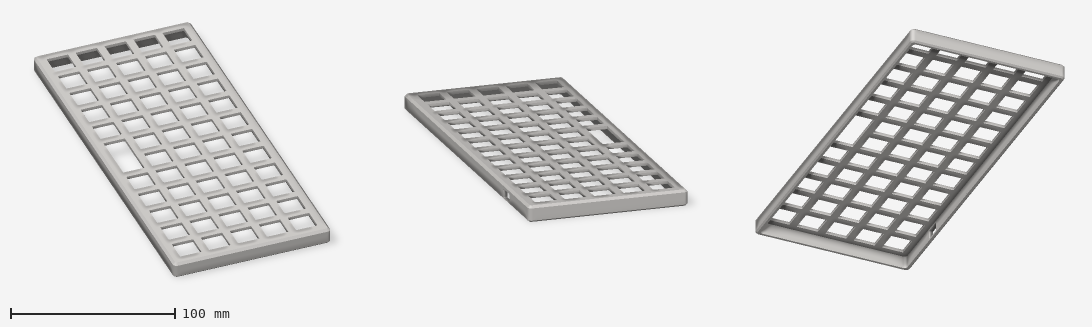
import cadquery as cq

length = 236.0
width = 103.0
height = 10.5
wall = 2.5
plate_thickness = 2.0
corner_radius = 2.5
inner_corner_radius = 2.0
top_chamfer = 1.5
bottom_chamfer = 1.0

columns = 12
rows = 5
rim = 6.5
web = 5.0
pitch = (length - 2 * rim + web) / columns
key_size = pitch - web
key_corner_radius = 0.3
space_bar_columns = (5, 6)
space_bar_row = 0

cable_columns = (1, 2)
cable_width = 10.9
cable_bottom = 1.25
cable_top = 7.0
cable_corner_radius = 0.8


def column_x(column):
    return (column - (columns - 1) / 2) * pitch


def row_y(row):
    return (row - (rows - 1) / 2) * pitch


def rounded_block(size_x, size_y, size_z, radius):
    block = cq.Workplane("XY").box(size_x, size_y, size_z, centered=(True, True, False))
    return block.edges("|Z").fillet(radius)


def make_shell():
    body = rounded_block(length, width, height, corner_radius)
    body = body.faces(">Z").chamfer(top_chamfer)
    body = body.faces("<Z").chamfer(bottom_chamfer)
    cavity = rounded_block(
        length - 2 * wall, width - 2 * wall, height - plate_thickness, inner_corner_radius
    )
    return body.cut(cavity)


def key_cutters(centers, size_x):
    cutters = cq.Workplane("XY").pushPoints(centers).rect(size_x, key_size).extrude(height)
    return cutters.edges("|Z").fillet(key_corner_radius)


def make_key_openings():
    key_centers = [
        (column_x(column), row_y(row))
        for row in range(rows)
        for column in range(columns)
        if not (row == space_bar_row and column in space_bar_columns)
    ]
    first_x, last_x = (column_x(column) for column in space_bar_columns)
    space_bar_center = ((first_x + last_x) / 2, row_y(space_bar_row))
    space_bar = key_cutters([space_bar_center], last_x - first_x + key_size)
    return key_cutters(key_centers, key_size).union(space_bar)


def make_cable_opening():
    center_x = sum(column_x(column) for column in cable_columns) / 2
    cable_height = cable_top - cable_bottom
    opening = cq.Workplane("XY").box(cable_width, 2 * wall, cable_height)
    opening = opening.edges("|Y").fillet(cable_corner_radius)
    center_y = (width - wall) / 2
    center_z = (cable_bottom + cable_top) / 2
    return opening.translate((center_x, center_y, center_z))


result = make_shell().cut(make_key_openings()).cut(make_cable_opening())